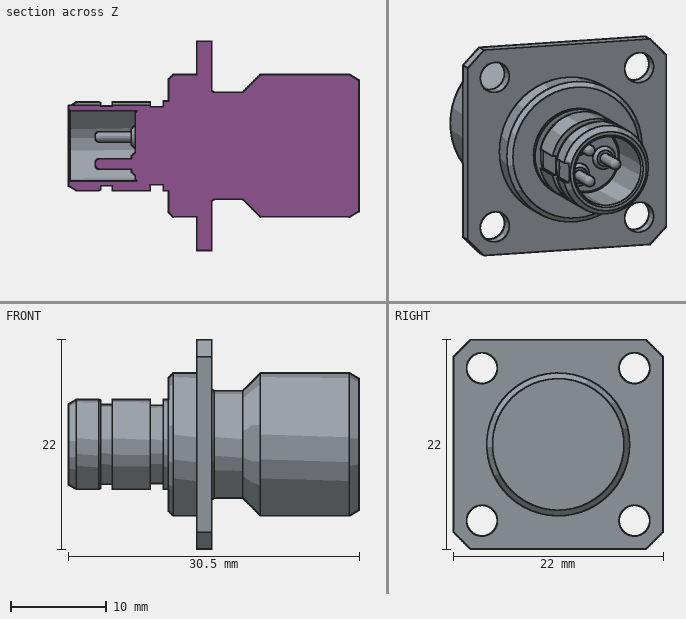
import cadquery as cq
import math

LENGTH = 30.5
NOSE_CHAMFER_END = 0.85
NOSE_BAND_END = 3.4
SEAL_GROOVE_END = 4.6
LAND_END = 8.6
RELIEF_GROOVE_END = 9.95
SHOULDER_START = 10.5
FLANGE_START = 13.45
FLANGE_THICKNESS = 1.6
NECK_END = 18.3

NOSE_TIP_RADIUS = 4.22
PLUG_RADIUS = 4.72
SEAL_GROOVE_RADIUS = 4.2
RELIEF_GROOVE_RADIUS = 4.12
SHOULDER_RADIUS = 7.5
NECK_RADIUS = 5.65
REAR_RADIUS = SHOULDER_RADIUS

BAND_EDGE_LENGTH = 0.2
BAND_EDGE_DEPTH = 0.1
SHOULDER_CHAMFER = 0.5
NECK_FLARE_LENGTH = 0.25
NECK_FLARE_HEIGHT = 0.15
REAR_CHAMFER_LENGTH = 1.0
REAR_CHAMFER_DEPTH = 0.6

FLANGE_SIZE = 22.0
FLANGE_CORNER_CHAMFER = 1.8
MOUNTING_PITCH = 16.0
MOUNTING_HOLE_DIAMETER = 3.2

SLOT_WIDTH = 2.05
SLOT_FLOOR_Y = 4.28

BORE_RADIUS = 3.67
BORE_DEPTH = 7.0
MOUTH_RADIUS = 3.86
MOUTH_CHAMFER_LENGTH = MOUTH_RADIUS - BORE_RADIUS
INSULATOR_FACE_RADIUS = 3.5
INSULATOR_CHAMFER = BORE_RADIUS - INSULATOR_FACE_RADIUS

PIN_COUNT = 3
PIN_CIRCLE_RADIUS = 1.9
PIN_FIRST_ANGLE = 60.0
PIN_RADIUS = 0.56
PIN_TIP_FLAT_RADIUS = 0.1
PIN_TIP_X = 2.8
BOSS_BASE_RADIUS = 1.23
BOSS_TOP_RADIUS = 0.85
BOSS_HEIGHT = BOSS_BASE_RADIUS - BOSS_TOP_RADIUS


def revolve_about_x(profile):
    """Turn a closed (x, radius) profile a full revolution about the X axis."""
    return profile.close().revolve(360, (0, 0, 0), (1, 0, 0))


def make_body():
    """Plug, shoulder, neck and rear barrel as one solid of revolution."""
    flange_end = FLANGE_START + FLANGE_THICKNESS
    flare_radius = NECK_RADIUS + NECK_FLARE_HEIGHT
    cone_end = NECK_END + REAR_RADIUS - NECK_RADIUS
    return revolve_about_x(
        cq.Workplane("XY")
        .moveTo(0, 0)
        .lineTo(0, NOSE_TIP_RADIUS)
        .lineTo(NOSE_CHAMFER_END, PLUG_RADIUS)
        .lineTo(NOSE_BAND_END - BAND_EDGE_LENGTH, PLUG_RADIUS)
        .lineTo(NOSE_BAND_END, PLUG_RADIUS - BAND_EDGE_DEPTH)
        .lineTo(NOSE_BAND_END, SEAL_GROOVE_RADIUS)
        .lineTo(SEAL_GROOVE_END, SEAL_GROOVE_RADIUS)
        .lineTo(SEAL_GROOVE_END, PLUG_RADIUS)
        .lineTo(LAND_END, PLUG_RADIUS)
        .lineTo(LAND_END, RELIEF_GROOVE_RADIUS)
        .lineTo(RELIEF_GROOVE_END, RELIEF_GROOVE_RADIUS)
        .lineTo(RELIEF_GROOVE_END, PLUG_RADIUS)
        .lineTo(SHOULDER_START, PLUG_RADIUS)
        .lineTo(SHOULDER_START, SHOULDER_RADIUS - SHOULDER_CHAMFER)
        .lineTo(SHOULDER_START + SHOULDER_CHAMFER, SHOULDER_RADIUS)
        .lineTo(flange_end, SHOULDER_RADIUS)
        .lineTo(flange_end, flare_radius)
        .lineTo(flange_end + NECK_FLARE_LENGTH, NECK_RADIUS)
        .lineTo(NECK_END, NECK_RADIUS)
        .lineTo(cone_end, REAR_RADIUS)
        .lineTo(LENGTH - REAR_CHAMFER_LENGTH, REAR_RADIUS)
        .lineTo(LENGTH, REAR_RADIUS - REAR_CHAMFER_DEPTH)
        .lineTo(LENGTH, 0)
    )


def make_flange():
    """Square plate with clipped corners and four mounting holes."""
    return (
        cq.Workplane("YZ")
        .workplane(offset=FLANGE_START)
        .rect(FLANGE_SIZE, FLANGE_SIZE)
        .extrude(FLANGE_THICKNESS)
        .edges("|X")
        .chamfer(FLANGE_CORNER_CHAMFER)
        .faces("<X")
        .workplane()
        .rect(MOUNTING_PITCH, MOUNTING_PITCH, forConstruction=True)
        .vertices()
        .hole(MOUNTING_HOLE_DIAMETER)
    )


def make_slot():
    """Cutter for the flat-bottomed slot through the nose band and the land."""
    slot_depth = PLUG_RADIUS - SLOT_FLOOR_Y
    cutter = cq.Workplane("XY").box(
        RELIEF_GROOVE_END, slot_depth, SLOT_WIDTH, centered=(False, False, True)
    )
    return cutter.translate((0, SLOT_FLOOR_Y, 0))


def make_bore():
    """Cutter for the bore, leaving the chamfered rim of the insulator at the bottom."""
    return revolve_about_x(
        cq.Workplane("XY")
        .moveTo(0, 0)
        .lineTo(0, MOUTH_RADIUS)
        .lineTo(MOUTH_CHAMFER_LENGTH, BORE_RADIUS)
        .lineTo(BORE_DEPTH + INSULATOR_CHAMFER, BORE_RADIUS)
        .lineTo(BORE_DEPTH, INSULATOR_FACE_RADIUS)
        .lineTo(BORE_DEPTH, 0)
    )


def make_pin():
    """Round-nosed contact pin and its boss, on the X axis, rooted in the insulator."""
    nose_radius = PIN_RADIUS - PIN_TIP_FLAT_RADIUS
    nose_end = PIN_TIP_X + nose_radius
    nose_middle = (
        nose_end - nose_radius * math.sqrt(0.5),
        PIN_TIP_FLAT_RADIUS + nose_radius * math.sqrt(0.5),
    )
    root_x = BORE_DEPTH + BOSS_HEIGHT
    return revolve_about_x(
        cq.Workplane("XY")
        .moveTo(PIN_TIP_X, 0)
        .lineTo(PIN_TIP_X, PIN_TIP_FLAT_RADIUS)
        .threePointArc(nose_middle, (nose_end, PIN_RADIUS))
        .lineTo(BORE_DEPTH - BOSS_HEIGHT, PIN_RADIUS)
        .lineTo(BORE_DEPTH - BOSS_HEIGHT, BOSS_TOP_RADIUS)
        .lineTo(BORE_DEPTH, BOSS_BASE_RADIUS)
        .lineTo(root_x, BOSS_BASE_RADIUS)
        .lineTo(root_x, 0)
    )


def pin_positions():
    """(y, z) of each pin, evenly spaced on the pin circle."""
    angles = [math.radians(PIN_FIRST_ANGLE + i * 360 / PIN_COUNT) for i in range(PIN_COUNT)]
    return [(PIN_CIRCLE_RADIUS * math.cos(a), PIN_CIRCLE_RADIUS * math.sin(a)) for a in angles]


result = make_body().union(make_flange()).cut(make_slot()).cut(make_bore())
for pin_y, pin_z in pin_positions():
    result = result.union(make_pin().translate((0, pin_y, pin_z)))